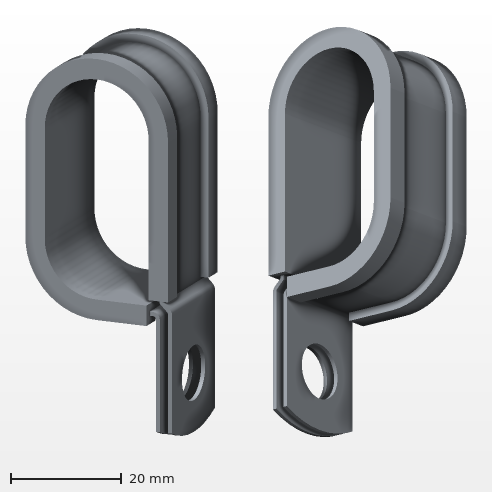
import cadquery as cq
import math

height = 71.3
cushion_width = 22.1
outer_radius = 14.1
cushion_thickness = 3.85
upper_bend_z = height - outer_radius
lower_bend_z = 36.35
right_leg_end_z = 27.2
bottom_leg_end_x = 9.85

groove_width = 14.0
groove_depth = 1.6

strap_thickness = 0.8
tab_width = 19.1
outer_tab_face_x = 14.25
inner_tab_face_x = 11.85
jog_start_z = 26.7
bend_inner_radius = 0.65
jog_bend_outer_radius = 1.6
tab_corner_z = 2.15
hole_diameter = 10.35
hole_z = 11.1


def loop_band(outer_inset, inner_inset, width):
    """Loop-shaped band between two depths measured in from the cushion's outer face."""
    r_out = outer_radius - outer_inset
    r_in = outer_radius - inner_inset
    diagonal = math.sqrt(0.5)
    return (
        cq.Workplane("XZ")
        .moveTo(r_out, right_leg_end_z)
        .lineTo(r_out, upper_bend_z)
        .threePointArc((0, upper_bend_z + r_out), (-r_out, upper_bend_z))
        .lineTo(-r_out, lower_bend_z)
        .threePointArc((-r_out * diagonal, lower_bend_z - r_out * diagonal), (0, lower_bend_z - r_out))
        .lineTo(bottom_leg_end_x, lower_bend_z - r_out)
        .lineTo(bottom_leg_end_x, lower_bend_z - r_in)
        .lineTo(0, lower_bend_z - r_in)
        .threePointArc((-r_in * diagonal, lower_bend_z - r_in * diagonal), (-r_in, lower_bend_z))
        .lineTo(-r_in, upper_bend_z)
        .threePointArc((0, upper_bend_z + r_in), (r_in, upper_bend_z))
        .lineTo(r_in, right_leg_end_z)
        .close()
        .extrude(width / 2, both=True)
    )


def outer_tab():
    """Tab that leaves the right leg and jogs outward at 45 degrees, then rounds back to vertical."""
    neck_face_x = outer_radius - groove_depth
    miter_drop = strap_thickness * math.tan(math.radians(22.5))
    inner_jog_z = jog_start_z - miter_drop

    jog_bend_inner_radius = jog_bend_outer_radius - strap_thickness
    diagonal = math.sqrt(0.5)
    center_x = outer_tab_face_x - jog_bend_outer_radius
    outer_arc_x = center_x + jog_bend_outer_radius * diagonal
    outer_arc_z = jog_start_z - (outer_arc_x - neck_face_x)
    center_z = outer_arc_z - jog_bend_outer_radius * diagonal
    inner_arc_x = center_x + jog_bend_inner_radius * diagonal
    inner_arc_z = center_z + jog_bend_inner_radius * diagonal

    return (
        cq.Workplane("XZ")
        .moveTo(neck_face_x, right_leg_end_z)
        .lineTo(neck_face_x, jog_start_z)
        .lineTo(outer_arc_x, outer_arc_z)
        .radiusArc((outer_tab_face_x, center_z), jog_bend_outer_radius)
        .lineTo(outer_tab_face_x, 0)
        .lineTo(outer_tab_face_x - strap_thickness, 0)
        .lineTo(outer_tab_face_x - strap_thickness, center_z)
        .radiusArc((inner_arc_x, inner_arc_z), -jog_bend_inner_radius)
        .lineTo(neck_face_x - strap_thickness, inner_jog_z)
        .lineTo(neck_face_x - strap_thickness, right_leg_end_z)
        .close()
        .extrude(tab_width / 2, both=True)
    )


def inner_tab():
    """Tab that leaves the bottom leg and bends down through 90 degrees."""
    bottom_z = lower_bend_z - outer_radius + groove_depth
    top_z = bottom_z + strap_thickness
    bend_outer_radius = bend_inner_radius + strap_thickness
    bend_x = inner_tab_face_x - bend_outer_radius
    bend_z = bottom_z - bend_inner_radius
    return (
        cq.Workplane("XZ")
        .moveTo(bottom_leg_end_x, top_z)
        .lineTo(bend_x, top_z)
        .radiusArc((inner_tab_face_x, bend_z), bend_outer_radius)
        .lineTo(inner_tab_face_x, 0)
        .lineTo(inner_tab_face_x - strap_thickness, 0)
        .lineTo(inner_tab_face_x - strap_thickness, bend_z)
        .radiusArc((bend_x, bottom_z), -bend_inner_radius)
        .lineTo(bottom_leg_end_x, bottom_z)
        .close()
        .extrude(tab_width / 2, both=True)
    )


def tab_blank():
    """Rounded-end blank, extruded along X, that trims and pierces both tabs."""
    half_width = tab_width / 2
    return (
        cq.Workplane("YZ")
        .moveTo(-half_width, right_leg_end_z)
        .lineTo(-half_width, tab_corner_z)
        .threePointArc((0, 0), (half_width, tab_corner_z))
        .lineTo(half_width, right_leg_end_z)
        .close()
        .extrude(outer_tab_face_x)
        .cut(cq.Workplane("YZ").center(0, hole_z).circle(hole_diameter / 2).extrude(outer_tab_face_x))
    )


cushion = loop_band(0, cushion_thickness, cushion_width).cut(loop_band(0, groove_depth, groove_width))
tabs = outer_tab().union(inner_tab()).intersect(tab_blank())
result = cushion.union(tabs).solids()